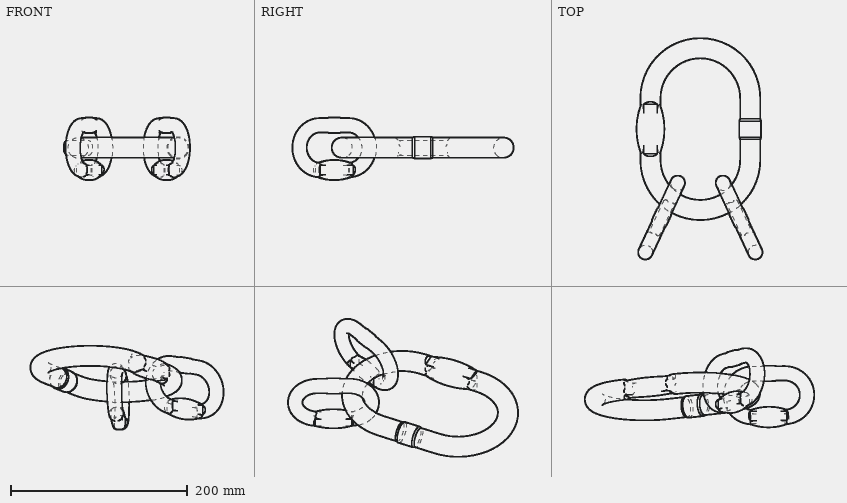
import cadquery as cq
import math

RING_BAR_DIAMETER = 23.0
RING_COLLAR_DIAMETER = 24.8
RING_BEND_RADIUS = 56.5
RING_STRAIGHT_LENGTH = 70.2
RING_COLLAR_LENGTH = 23.3
RING_COLLAR_TAPER = 2.5
RING_GRIP_WIDTH = 31.8
RING_GRIP_THICKNESS = 17.3
RING_GRIP_CHORD = 51.1
RING_GRIP_FILLET = 5.8
RING_FLAT_LENGTH = 56.2

LINK_BAR_DIAMETER = 16.5
LINK_COLLAR_DIAMETER = 17.8
LINK_BEND_RADIUS = 25.3
LINK_STRAIGHT_LENGTH = 36.0
LINK_COLLAR_LENGTH = 16.8
LINK_COLLAR_TAPER = 2.0
LINK_GRIP_WIDTH = 23.0
LINK_GRIP_THICKNESS = 12.5
LINK_GRIP_CHORD = 38.5
LINK_GRIP_FILLET = 4.3
LINK_FLAT_LENGTH = 41.0
LINK_OFFSET_X = 44.0
LINK_CENTRE_Y = -100.0
LINK_SPLAY_ANGLE = 25.0


def make_bar(diameter, bend_radius, straight_length):
    """Closed round bar, swept around a stadium whose long axis is Y."""
    half = straight_length / 2
    path = (
        cq.Workplane("XY")
        .moveTo(bend_radius, -half)
        .lineTo(bend_radius, half)
        .threePointArc((0, half + bend_radius), (-bend_radius, half))
        .lineTo(-bend_radius, -half)
        .threePointArc((0, -half - bend_radius), (bend_radius, -half))
        .close()
    )
    section = cq.Workplane("XZ", origin=(bend_radius, -half, 0)).circle(diameter / 2)
    return section.sweep(path)


def make_collar(bar_diameter, diameter, length, taper, centre_x):
    """Raised ring around the straight leg, tapering to the bar at both ends."""
    bar_radius = bar_diameter / 2
    radius = diameter / 2
    half = length / 2
    profile = [
        (0, -half),
        (bar_radius, -half),
        (radius, -half + taper),
        (radius, half - taper),
        (bar_radius, half),
        (0, half),
    ]
    collar = cq.Workplane("XY").polyline(profile).close().revolve(360, (0, 0, 0), (0, 1, 0))
    return collar.translate((centre_x, 0, 0))


def make_grip(bar_diameter, width, thickness, chord, fillet, length, centre_x):
    """Plate with two bulging sides whose edges are rounded."""
    rise = (width - bar_diameter) / 2
    bulge_radius = ((chord / 2) ** 2 + rise**2) / (2 * rise)
    half = length / 2
    end_drop = bulge_radius - math.sqrt(bulge_radius**2 - half**2)
    middle_x = width / 2
    end_x = middle_x - end_drop
    plate = (
        cq.Workplane("XY")
        .moveTo(end_x, -half)
        .threePointArc((middle_x, 0), (end_x, half))
        .lineTo(-end_x, half)
        .threePointArc((-middle_x, 0), (-end_x, -half))
        .close()
        .extrude(thickness / 2, both=True)
        .edges("%CIRCLE")
        .fillet(fillet)
    )
    return plate.translate((centre_x, 0, 0))


def cut_flats(bar, bar_diameter, thickness, length, centre_x):
    """Flatten both faces of one leg, with 45 degree ramps back to the full bar."""
    bar_radius = bar_diameter / 2
    flat_height = thickness / 2
    half = length / 2
    ramp = bar_radius - flat_height
    cutter = (
        cq.Workplane("YZ", origin=(centre_x, 0, 0))
        .moveTo(-half, flat_height)
        .lineTo(half, flat_height)
        .lineTo(half + ramp, bar_radius)
        .lineTo(-half - ramp, bar_radius)
        .close()
        .extrude(bar_radius, both=True)
    )
    return bar.cut(cutter).cut(cutter.mirror("XY"))


def make_master_ring():
    leg_x = RING_BEND_RADIUS
    ring = make_bar(RING_BAR_DIAMETER, RING_BEND_RADIUS, RING_STRAIGHT_LENGTH)
    ring = cut_flats(ring, RING_BAR_DIAMETER, RING_GRIP_THICKNESS, RING_FLAT_LENGTH, -leg_x)
    grip = make_grip(
        RING_BAR_DIAMETER, RING_GRIP_WIDTH, RING_GRIP_THICKNESS,
        RING_GRIP_CHORD, RING_GRIP_FILLET, RING_FLAT_LENGTH, -leg_x,
    )
    collar = make_collar(
        RING_BAR_DIAMETER, RING_COLLAR_DIAMETER, RING_COLLAR_LENGTH, RING_COLLAR_TAPER, leg_x
    )
    return ring.union(grip).union(collar).solids()


def make_link(side):
    """Connecting link; side is -1 for the -X link and +1 for the +X link."""
    leg_x = LINK_BEND_RADIUS
    link = make_bar(LINK_BAR_DIAMETER, LINK_BEND_RADIUS, LINK_STRAIGHT_LENGTH)
    link = cut_flats(link, LINK_BAR_DIAMETER, LINK_GRIP_THICKNESS, LINK_FLAT_LENGTH, -leg_x)
    grip = make_grip(
        LINK_BAR_DIAMETER, LINK_GRIP_WIDTH, LINK_GRIP_THICKNESS,
        LINK_GRIP_CHORD, LINK_GRIP_FILLET, LINK_FLAT_LENGTH, -leg_x,
    )
    collar = make_collar(
        LINK_BAR_DIAMETER, LINK_COLLAR_DIAMETER, LINK_COLLAR_LENGTH, LINK_COLLAR_TAPER, leg_x
    )
    link = link.union(grip).union(collar).solids()
    link = link.rotate((0, 0, 0), (0, 1, 0), -90)
    link = link.rotate((0, 0, 0), (0, 0, 1), side * LINK_SPLAY_ANGLE)
    return link.translate((side * LINK_OFFSET_X, LINK_CENTRE_Y, 0))


master_ring = make_master_ring()
links = [make_link(side) for side in (-1, 1)]

result = cq.Compound.makeCompound([master_ring.val(), *[link.val() for link in links]])